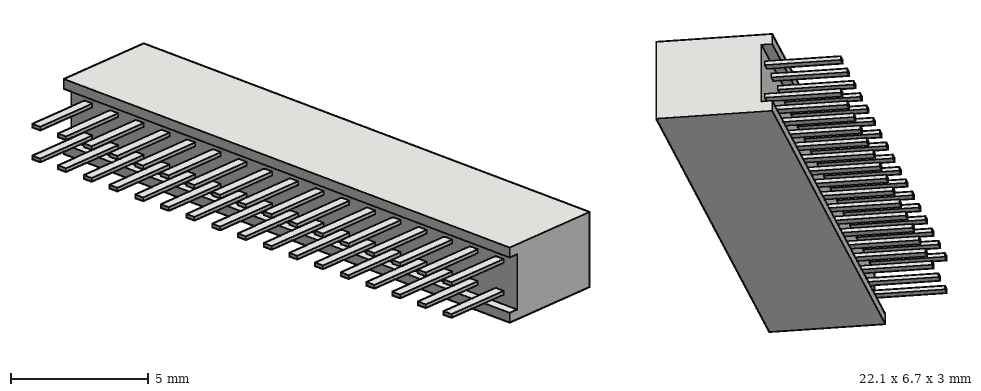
import cadquery as cq

body_length = 22.05
body_height = 3.0
body_depth = 4.3
lip_thickness = 0.4
channel_depth = 0.4

pin_columns = 17
end_margin = 0.85
pin_pitch = (body_length - 2 * end_margin) / (pin_columns - 1)
row_spacing = pin_pitch
pin_width = 0.4
pin_thickness = 0.15
pin_root = 0.4
overall_depth = 6.7

body_front = overall_depth - body_depth
channel_floor = body_front + channel_depth
channel_height = body_height - 2 * lip_thickness


def block(x_size, z_size, y_start, y_end):
    """Box centred on X and Z, running along Y from y_start to y_end."""
    box = cq.Workplane("XY").box(x_size, y_end - y_start, z_size, centered=(True, False, True))
    return box.translate((0, y_start, 0))


def make_housing():
    body = block(body_length, body_height, body_front, overall_depth)
    channel = block(body_length, channel_height, body_front, channel_floor)
    return body.cut(channel)


def add_pins(housing):
    pin = block(pin_width, pin_thickness, 0, channel_floor + pin_root)
    for column in range(pin_columns):
        x = end_margin - body_length / 2 + column * pin_pitch
        for z in (-row_spacing / 2, row_spacing / 2):
            housing = housing.union(pin.translate((x, 0, z)))
    return housing


result = add_pins(make_housing())